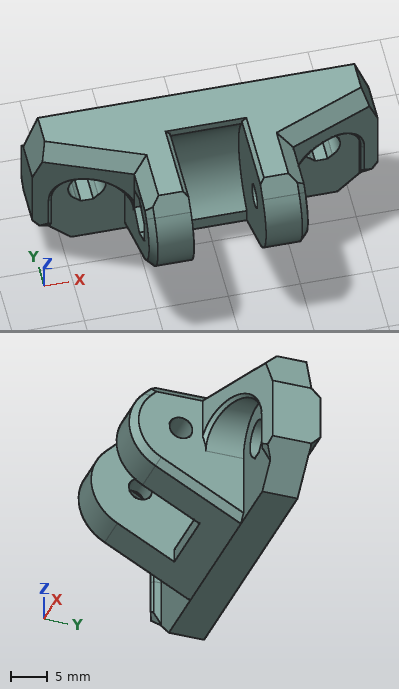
import cadquery as cq
import math


length = 48.0
height = 20.0
wing_end_depth = 5.6
neck_depth = 11.0
neck_half_width = 11.05
floor_depth = 5.1
end_cut = 5.5
top_end_inset = 2.0
top_chamfer = 2.0

ridge_depth = 1.3

lug_reach = 21.2
pin_depth = 14.1
pin_z = 12.9
pin_diameter = 3.3
lug_radius = lug_reach - pin_depth
lug_chamfer = 1.0
nut_across_flats = 5.75
nut_mouth_across_flats = 6.1
nut_depth = 3.0
nut_mouth_depth = 1.05

slot_half_width = 5.0
slot_wall_depth = 9.2
slot_top_depth = 6.15
slot_clearance_radius = 10.0
slot_edge_chamfer = 0.6

recess_radius = 5.25
recess_chamfer = 0.5
screw_x = neck_half_width + recess_radius
screw_z = height / 2
screw_diameter = 5.25
screw_flat_drop = 2.8
screw_flat_half_width = 0.85

lip_low_z = 3.2
lip_high_z = 5.4
lip_high_depth = 6.5

wing_slope = (neck_depth - wing_end_depth) / (length / 2 - neck_half_width)


def extrude_x(corners, half_width):
    """Solid from the corners of a closed (Y, Z) outline, centred on X = 0."""
    return cq.Workplane("YZ").polyline(corners).close().extrude(half_width, both=True)


def make_wing_block():
    """Tapered plate with a sloping roof edge; its flanks run on into the neck as far as the slot."""
    apex_depth = wing_end_depth + wing_slope * (length / 2 - slot_half_width)
    plan = [
        (-length / 2, 0),
        (-length / 2, -wing_end_depth),
        (-slot_half_width, -apex_depth),
        (slot_half_width, -apex_depth),
        (length / 2, -wing_end_depth),
        (length / 2, 0),
    ]
    block = cq.Workplane("XY").polyline(plan).close().extrude(height)
    flank_middle = (wing_end_depth + apex_depth) / 2
    for side in (-1, 1):
        flank_x = side * (length / 2 + slot_half_width) / 2
        flank_top = cq.selectors.NearestToPointSelector((flank_x, -flank_middle, height))
        block = block.edges(flank_top).chamfer(top_chamfer)

    end_outline = [
        (-length / 2 + end_cut, 0),
        (length / 2 - end_cut, 0),
        (length / 2, end_cut),
        (length / 2, height - end_cut),
        (length / 2 - top_end_inset, height),
        (-length / 2 + top_end_inset, height),
        (-length / 2, height - end_cut),
        (-length / 2, end_cut),
    ]
    envelope = cq.Workplane("XZ").polyline(end_outline).close().extrude(lug_reach)
    return block.intersect(envelope)


def cut_recess(block, side):
    """Cut one arched screw recess, open at the bottom, and chamfer its mouth."""
    x = side * screw_x
    recess = (
        cq.Workplane("XZ", origin=(0, -floor_depth, 0))
        .moveTo(x - recess_radius, 0)
        .lineTo(x - recess_radius, screw_z)
        .threePointArc((x, screw_z + recess_radius), (x + recess_radius, screw_z))
        .lineTo(x + recess_radius, 0)
        .close()
        .extrude(lug_reach)
    )
    block = block.cut(recess)
    arch_depth = wing_end_depth + wing_slope * (length / 2 - screw_x)
    arch_top = cq.selectors.NearestToPointSelector((x, -arch_depth, screw_z + recess_radius))
    return block.edges(arch_top).chamfer(recess_chamfer)


def make_lug_blank():
    """Side profile of the lugs, as one piece across the neck, with its rim chamfered."""
    rise = math.atan2(pin_z, pin_depth - floor_depth)
    reach = math.hypot(pin_z, pin_depth - floor_depth)
    slope = rise - math.asin(lug_radius / reach)
    diagonal = lug_radius * math.sqrt(0.5)
    facet_top_depth = pin_depth + 2 * diagonal - (height - pin_z)
    under_point = (
        -pin_depth - lug_radius * math.sin(slope),
        pin_z - lug_radius * math.cos(slope),
    )
    blank = (
        cq.Workplane("YZ")
        .moveTo(0, 0)
        .lineTo(-floor_depth, 0)
        .lineTo(*under_point)
        .threePointArc((-lug_reach, pin_z), (-pin_depth - diagonal, pin_z + diagonal))
        .lineTo(-facet_top_depth, height)
        .lineTo(0, height)
        .close()
        .extrude(neck_half_width, both=True)
    )
    rim_back_limit = -(floor_depth + pin_depth) / 2
    rim = cq.selectors.BoxSelector((-length, -length, -height), (length, rim_back_limit, 2 * height))
    return blank.faces("<X or >X").edges(rim).chamfer(lug_chamfer)


def make_lugs(blank):
    """Lug blank with its two long top edges bevelled."""
    gable = (
        cq.Workplane("XZ")
        .rect(2 * neck_half_width, 2 * height)
        .extrude(lug_reach)
        .edges("|Y and >Z")
        .chamfer(top_chamfer)
    )
    return blank.intersect(gable)


def make_ridge():
    """Tapered ridge along the whole plate back."""
    inset = end_cut + ridge_depth
    outline = [
        (0, end_cut),
        (ridge_depth, inset),
        (ridge_depth, height - inset),
        (0, height - end_cut),
    ]
    return extrude_x(outline, length / 2)


def make_slot_block(back_depth, bottom_z):
    """Block as wide as the slot, open to the front and to the top."""
    outline = [
        (-back_depth, bottom_z),
        (-lug_reach, bottom_z),
        (-lug_reach, height),
        (-back_depth, height),
    ]
    return extrude_x(outline, slot_half_width)


def make_slot():
    """Gap between the lugs, with a round clearance about the pin and bevelled top edges."""
    lower = make_slot_block(slot_wall_depth, 0)
    upper = make_slot_block(slot_top_depth, pin_z)
    clearance_top = pin_z + math.sqrt(slot_clearance_radius**2 - (pin_depth - slot_top_depth) ** 2)
    clearance_bottom = pin_z - math.sqrt(
        slot_clearance_radius**2 - (pin_depth - slot_wall_depth) ** 2
    )
    clearance = (
        cq.Workplane("YZ")
        .moveTo(-slot_top_depth, clearance_top)
        .threePointArc(
            (-pin_depth + slot_clearance_radius, pin_z),
            (-slot_wall_depth, clearance_bottom),
        )
        .lineTo(-lug_reach, clearance_bottom)
        .lineTo(-lug_reach, clearance_top)
        .close()
        .extrude(slot_half_width, both=True)
    )
    bevel_outline = [
        (-slot_half_width, height - slot_edge_chamfer),
        (-slot_half_width - slot_edge_chamfer, height),
        (slot_half_width + slot_edge_chamfer, height),
        (slot_half_width, height - slot_edge_chamfer),
    ]
    bevel = (
        cq.Workplane("XZ", origin=(0, -slot_top_depth, 0))
        .polyline(bevel_outline)
        .close()
        .extrude(lug_reach)
    )
    return lower.union(upper).union(clearance).union(bevel)


def pin_workplane():
    """Workplane on the outer face of the -X lug, centred on the pin and facing +X."""
    return cq.Workplane("YZ", origin=(-neck_half_width, -pin_depth, pin_z))


def make_hexagon(across_flats, depth):
    """Hexagonal pocket in the -X lug, with corners up and down."""
    corner_diameter = across_flats / math.cos(math.pi / 6)
    return pin_workplane().transformed(rotate=(0, 0, 90)).polygon(6, corner_diameter).extrude(depth)


def make_pin_hole():
    """Pin hole through both lugs, with a stepped hexagonal nut pocket in the -X lug."""
    hole = pin_workplane().circle(pin_diameter / 2).extrude(2 * neck_half_width)
    pocket = make_hexagon(nut_across_flats, nut_depth)
    pocket_mouth = make_hexagon(nut_mouth_across_flats, nut_mouth_depth)
    return hole.union(pocket).union(pocket_mouth)


def make_screw_hole(x):
    """Screw hole along Y whose round ends below in two 45 degree flanks and a flat."""
    radius = screw_diameter / 2
    flank_distance = (screw_flat_half_width + screw_flat_drop) * math.sqrt(0.5)
    flank_angle = math.pi / 4 + math.acos(flank_distance / radius)
    flank_x = radius * math.cos(flank_angle)
    flank_z = -radius * math.sin(flank_angle)
    return (
        cq.Workplane("XZ", origin=(x, ridge_depth, screw_z))
        .moveTo(-screw_flat_half_width, -screw_flat_drop)
        .lineTo(-flank_x, flank_z)
        .threePointArc((0, radius), (flank_x, flank_z))
        .lineTo(screw_flat_half_width, -screw_flat_drop)
        .close()
        .extrude(lug_reach)
    )


def make_lip_bevel():
    """Sloping cut across the low ends of the wing lips beside the recesses."""
    outline = [
        (-floor_depth, 0),
        (-floor_depth, lip_low_z),
        (-lip_high_depth, lip_high_z),
        (-lug_reach, lip_high_z),
        (-lug_reach, 0),
    ]
    return extrude_x(outline, length / 2)


block = make_wing_block().cut(make_lip_bevel())
for side in (-1, 1):
    block = cut_recess(block, side)
lug_blank = make_lug_blank()

neck_space = (
    cq.Workplane("XZ", origin=(0, -floor_depth, 0))
    .rect(2 * neck_half_width, 2 * height)
    .extrude(lug_reach)
)
wings = block.cut(neck_space)
neck_roof = block.intersect(lug_blank)
result = wings.union(neck_roof).union(make_lugs(lug_blank)).union(make_ridge())

result = result.cut(make_slot()).cut(make_pin_hole())
for side in (-1, 1):
    result = result.cut(make_screw_hole(side * screw_x))